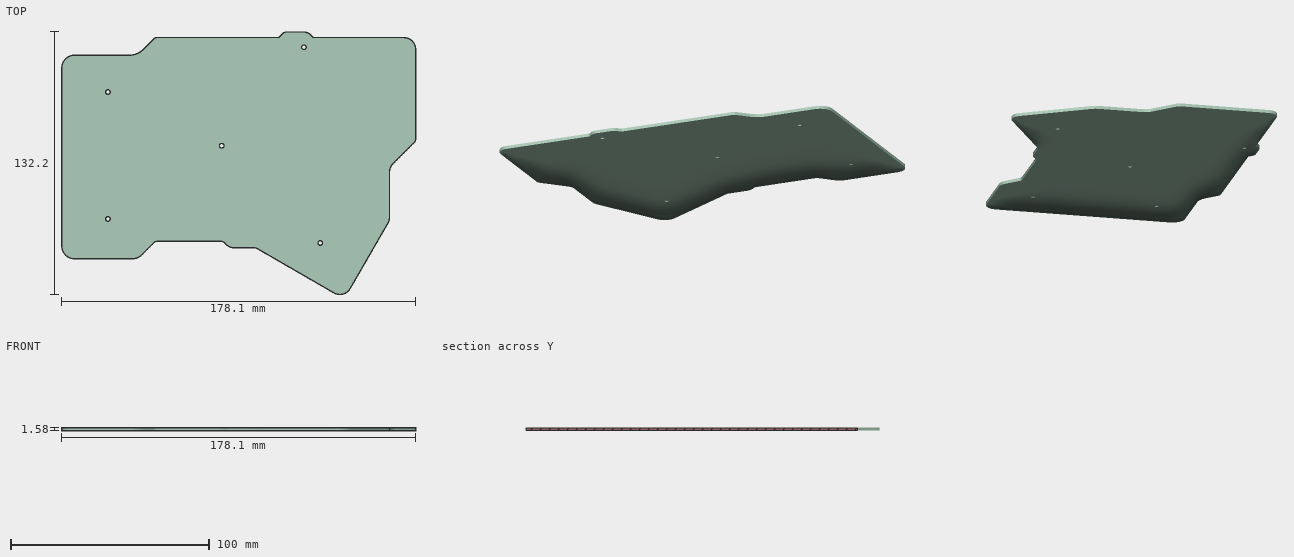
import cadquery as cq
import math

width = 178.1
depth = 132.15
thickness = 1.58
hole_diameter = 2.2

left_block_top = 102.5
main_top = 111.35
main_bottom = 8.75
step_bottom = 5.5
notch_top = 59.32
tab_top = 114.2
tip_bottom = tab_top - depth

left_block_right = 47.0
step_left = 81.2
tab_left = 109.1
tab_right = 126.6
wing_start = 97.7
lower_right = 164.95

wing_angle = math.radians(30)

corner_radius = 6.0
left_corner_radius = 6.5
upper_shoulder_radius = 9.5
lower_shoulder_radius = 6.5
small_radius = 2.0
tab_left_radius = 3.0
tab_right_radius = 5.5
sharp = 0.0

mounting_holes = [
    (23.25, 83.9),
    (23.25, 20.1),
    (80.5, 56.9),
    (121.8, 106.45),
    (130.05, 8.0),
]


def outline_corners():
    """Sharp corners of the plate, counterclockwise, each as (x, y, rounding radius)."""
    cos_wing = math.cos(wing_angle)
    sin_wing = math.sin(wing_angle)

    tip_lift = corner_radius * (cos_wing + sin_wing - 1)
    tip_y = tip_bottom - tip_lift
    tip_x = wing_start + (step_bottom - tip_y) / math.tan(wing_angle)
    elbow_y = tip_y + (lower_right - tip_x) / math.tan(wing_angle)

    lower_shoulder_x = left_block_right - main_bottom
    upper_shoulder_x = left_block_right - (main_top - left_block_top)
    step_right = step_left + (main_bottom - step_bottom)
    notch_bottom = notch_top - (width - lower_right)
    tab_rise = tab_top - main_top

    return [
        (0, 0, left_corner_radius),
        (lower_shoulder_x, 0, lower_shoulder_radius),
        (left_block_right, main_bottom, small_radius),
        (step_left, main_bottom, small_radius),
        (step_right, step_bottom, corner_radius),
        (wing_start, step_bottom, small_radius),
        (tip_x, tip_y, corner_radius),
        (lower_right, elbow_y, corner_radius),
        (lower_right, notch_bottom, corner_radius),
        (width, notch_top, small_radius),
        (width, main_top, corner_radius),
        (tab_right, main_top, sharp),
        (tab_right - tab_rise, tab_top, tab_right_radius),
        (tab_left + tab_rise, tab_top, tab_left_radius),
        (tab_left, main_top, sharp),
        (left_block_right, main_top, small_radius),
        (upper_shoulder_x, left_block_top, upper_shoulder_radius),
        (0, left_block_top, left_corner_radius),
    ]


def corner_arc(before, corner, after, radius):
    """Start, middle and end of the arc that rounds a corner between two straight edges."""
    vertex = cq.Vector(*corner)
    to_before = (cq.Vector(*before) - vertex).normalized()
    to_after = (cq.Vector(*after) - vertex).normalized()
    half_angle = to_before.getAngle(to_after) / 2
    setback = radius / math.tan(half_angle)
    bisector = (to_before + to_after).normalized()
    middle = vertex + bisector * (radius / math.sin(half_angle) - radius)
    return vertex + to_before * setback, middle, vertex + to_after * setback


def rounded_outline(corners):
    """Closed outline through the corners, each rounded by its own radius."""
    outline = cq.Workplane("XY").moveTo(0, left_block_top / 2)
    for index, (x, y, radius) in enumerate(corners):
        if radius == sharp:
            outline = outline.lineTo(x, y)
            continue
        before = corners[index - 1][:2]
        after = corners[(index + 1) % len(corners)][:2]
        start, middle, end = corner_arc(before, (x, y), after, radius)
        outline = outline.lineTo(start.x, start.y)
        outline = outline.threePointArc((middle.x, middle.y), (end.x, end.y))
    return outline.close()


def drill_holes(plate):
    """Plain through holes for the mounting screws."""
    drills = (
        cq.Workplane("XY")
        .pushPoints(mounting_holes)
        .circle(hole_diameter / 2)
        .extrude(thickness)
    )
    return plate.cut(drills)


plate = rounded_outline(outline_corners()).extrude(thickness)
result = drill_holes(plate)